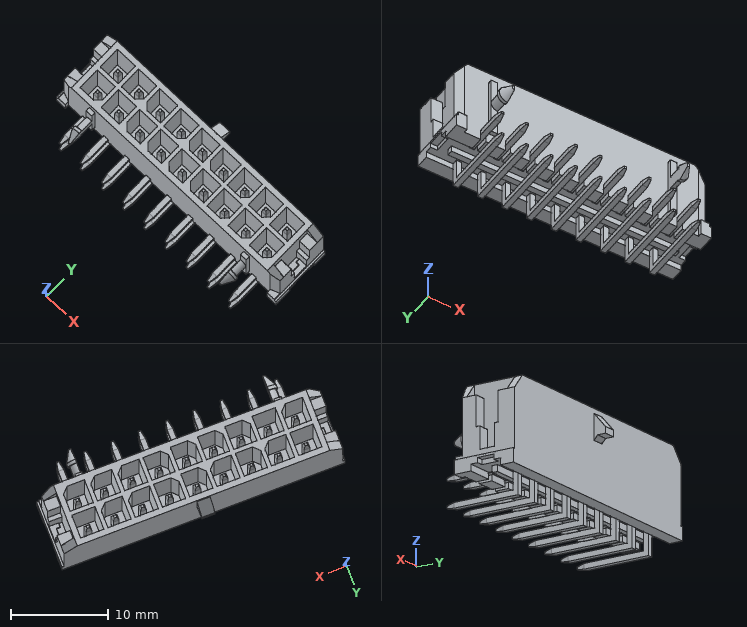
import cadquery as cq


columns = 9
pitch = 3.0
first_column_x = -pitch * (columns - 1) / 2
back_row_y = -1.92
front_row_y = back_row_y - pitch

height = 9.9
depth = 6.85
half_length = 15.34
core_half_length = 13.9
chamfer_drop = 1.69
ledge_z = height - chamfer_drop
mid_y = -depth / 2

cavity_size = 2.55
cavity_corner = 0.65
cavity_floor_z = 2.2
back_row_bevels = "-RLRLLRR-"
front_row_bevels = "R-LLLLRRR"

end_ledge_depth = 5.0
wide_groove_width = 2.7
narrow_groove_width = 1.8
wide_groove_z = 4.78
narrow_groove_z = 2.25
corner_taper_x = 1.04
corner_taper_y = 0.38

pocket_depth = 0.4
pocket_stem_x = 14.7
pocket_bar_x = 14.28
pocket_stem_width = 0.9

overall_length = 31.15
foot_half_length = overall_length / 2
foot_inner_x = half_length - corner_taper_x
foot_front_y = -7.33
foot_height = 1.97
lip_height = 1.57
end_notch_width = 2.0
end_notch_depth = 0.8
end_notch_z = 1.31

channel_back_y = -1.6
channel_front_y = -5.27
channel_height = 0.75
rib_width = 0.67

wire = 0.64
tail_end_y = -10.53
tip_length = 0.98
tip_size = 0.28
upper_tail_z = 0.98
lower_tail_z = upper_tail_z - pitch
contact_top_z = 7.5

peg_axis_x = 10.55
peg_z = 5.3
peg_radius = 0.8
peg_head_radius = 1.0
peg_tip_radius = 0.28
peg_head_y = -8.81
peg_cone_y = -9.19
bar_bottom_z = 1.31
bar_top_z = 8.53

latch_width = 1.45
latch_reach = 1.42
latch_top_z = 9.34
latch_nose_z = 7.67
latch_under_z = 6.94
latch_root_y = 0.45
latch_root_z = 6.42


def block(x0, x1, y0, y1, z0, z1):
    """Box between two X, two Y and two Z positions."""
    return cq.Workplane("XY").box(x1 - x0, y1 - y0, z1 - z0, centered=False).translate((x0, y0, z0))


def both_ends(shape):
    """The shape together with its mirror image across X = 0."""
    return shape.union(shape.mirror("YZ"))


def column_x(column):
    return first_column_x + column * pitch


def housing_block():
    outline = [
        (-half_length, 0),
        (half_length, 0),
        (half_length, ledge_z),
        (core_half_length, height),
        (-core_half_length, height),
        (-half_length, ledge_z),
    ]
    return cq.Workplane("XZ").polyline(outline).close().extrude(depth)


def corner_taper():
    """Wedge taken off the front edge of the -X end wall."""
    outline = [
        (-half_length, -depth),
        (-half_length, -depth + corner_taper_y),
        (-half_length + corner_taper_x, -depth),
    ]
    return cq.Workplane("XY").polyline(outline).close().extrude(height)


def end_groove():
    """Stepped vertical groove in the -X end wall, widest at the top."""
    cut = None
    steps = [
        (end_ledge_depth, ledge_z),
        (wide_groove_width, wide_groove_z),
        (narrow_groove_width, narrow_groove_z),
    ]
    for width, bottom_z in steps:
        step = block(
            -half_length, -core_half_length, mid_y - width / 2, mid_y + width / 2, bottom_z, height
        )
        cut = step if cut is None else cut.union(step)
    return cut


def groove_pocket():
    """T-shaped pocket in the groove floor of the -X end."""
    bottom_z = narrow_groove_z - pocket_depth
    bar = block(
        -pocket_bar_x,
        -core_half_length,
        mid_y - narrow_groove_width / 2,
        mid_y + narrow_groove_width / 2,
        bottom_z,
        narrow_groove_z,
    )
    stem = block(
        -pocket_stem_x,
        -pocket_bar_x,
        mid_y - pocket_stem_width / 2,
        mid_y + pocket_stem_width / 2,
        bottom_z,
        narrow_groove_z,
    )
    return bar.union(stem)


def foot():
    """Foot and outer lip of the -X end."""
    body = block(-half_length, -foot_inner_x, foot_front_y, 0, 0, foot_height)
    lip = block(-foot_half_length, -foot_inner_x, foot_front_y, 0, 0, lip_height)
    return body.union(lip)


def end_notch():
    """Notch in the -X end face, opening into the underside channel."""
    return block(
        -foot_half_length,
        -foot_half_length + end_notch_depth,
        mid_y - end_notch_width / 2,
        mid_y + end_notch_width / 2,
        0,
        end_notch_z,
    )


def underside_channel():
    return block(
        -foot_half_length, foot_half_length, channel_front_y, channel_back_y, 0, channel_height
    )


def underside_rib():
    return block(
        -core_half_length,
        core_half_length,
        mid_y - rib_width / 2,
        mid_y + rib_width / 2,
        0,
        channel_height,
    )


def tail_slot(x):
    """Slot in the front wall below an upper tail."""
    return block(x - wire / 2, x + wire / 2, -depth, channel_front_y, 0, upper_tail_z)


def cavity(x, y, bevel):
    """Square cavity, with one front corner bevelled unless the bevel is "-"."""
    half = cavity_size / 2
    hole = block(x - half, x + half, y - half, y + half, cavity_floor_z, height)
    if bevel == "-":
        return hole
    side = "<X" if bevel == "L" else ">X"
    return hole.edges("|Z").edges("<Y").edges(side).chamfer(cavity_corner)


def tapered_tip(plane):
    """Wire end narrowing along the normal of the given workplane."""
    return plane.rect(wire, wire).workplane(offset=tip_length).rect(tip_size, tip_size).loft()


def contact(x, y, tail_z):
    """L-shaped square-wire contact with both tips tapered."""
    half = wire / 2
    post_end_z = contact_top_z - tip_length
    tail_taper_y = tail_end_y + tip_length
    post = block(x - half, x + half, y - half, y + half, tail_z - half, post_end_z)
    tail = block(x - half, x + half, tail_taper_y, y + half, tail_z - half, tail_z + half)
    post_tip = tapered_tip(cq.Workplane("XY", origin=(x, y, post_end_z)))
    tail_tip = tapered_tip(cq.Workplane("XZ", origin=(x, tail_taper_y, tail_z)))
    return post.union(tail).union(post_tip).union(tail_tip)


def board_peg():
    """Outer half of a round peg and its bar, on the -X side."""
    bar = block(
        -peg_axis_x - peg_radius, -peg_axis_x, foot_front_y, -depth, bar_bottom_z, bar_top_z
    )
    profile = [
        (0, -depth),
        (-peg_radius, -depth),
        (-peg_radius, peg_head_y),
        (-peg_head_radius, peg_head_y),
        (-peg_head_radius, peg_cone_y),
        (-peg_tip_radius, tail_end_y),
        (0, tail_end_y),
    ]
    peg = cq.Workplane("XY").polyline(profile).close().revolve(360, (0, 0, 0), (0, 1, 0))
    outer_half = block(-peg_head_radius, 0, tail_end_y, 0, -peg_head_radius, peg_head_radius)
    peg = peg.intersect(outer_half).translate((-peg_axis_x, 0, peg_z))
    return bar.union(peg)


def latch():
    outline = [
        (0, latch_top_z),
        (latch_reach, latch_nose_z),
        (latch_reach, latch_under_z),
        (latch_root_y, latch_under_z),
        (0, latch_root_z),
    ]
    return cq.Workplane("YZ").polyline(outline).close().extrude(latch_width / 2, both=True)


housing = housing_block().cut(both_ends(corner_taper())).cut(both_ends(end_groove()))
housing = housing.union(both_ends(foot()))
housing = housing.cut(both_ends(groove_pocket())).cut(both_ends(end_notch()))
housing = housing.cut(underside_channel()).union(underside_rib())
housing = housing.union(both_ends(board_peg())).union(latch())

rows = [
    (back_row_y, back_row_bevels, lower_tail_z),
    (front_row_y, front_row_bevels, upper_tail_z),
]
for column in range(columns):
    x = column_x(column)
    housing = housing.cut(tail_slot(x))
    for row_y, bevels, tail_z in rows:
        housing = housing.cut(cavity(x, row_y, bevels[column]))
        housing = housing.union(contact(x, row_y, tail_z))

result = housing